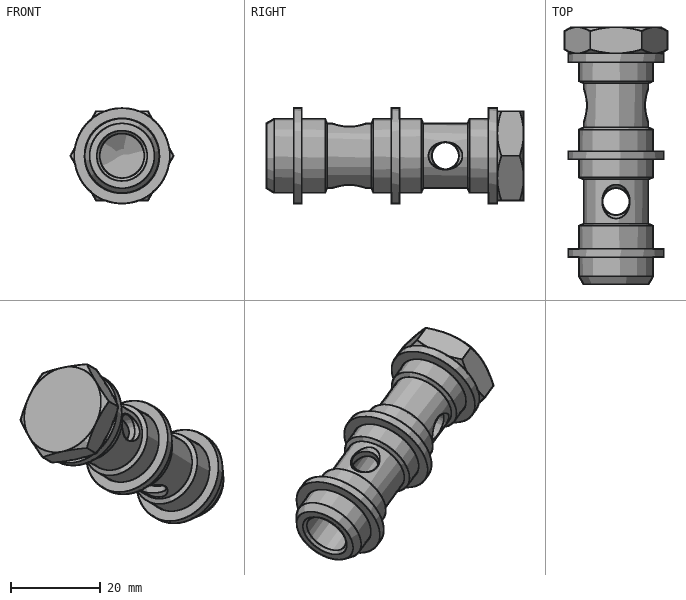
import cadquery as cq
import math

length = 57.5
head_height = 5.85
across_flats = 20.0
head_chamfer_angle = 30.0

collar_diameter = 16.6
neck_diameter = 14.5
neck_length = 9.9
neck_centers = [18.5, 40.0]
shoulder_chamfer_length = 0.45
tip_chamfer_length = 1.8

bore_diameter = 9.95
bore_mouth_diameter = 11.25
bore_depth = 48.3
drill_point_angle = 135.0
cross_hole_diameter = 6.0
countersink_diameter = 7.6

ring_outer_diameter = 21.4
ring_bore_diameter = 16.8
ring_thickness = 1.85
head_ring_thickness = 2.0
lower_ring_starts = [6.1, 27.95]

head_start = length - head_height
collar_radius = collar_diameter / 2
neck_radius = neck_diameter / 2
bore_radius = bore_diameter / 2
bore_mouth_radius = bore_mouth_diameter / 2
corner_radius = across_flats / 2 / math.cos(math.radians(30))


def cylinder(radius, start, height):
    """Cylinder around the Y axis, from start toward +Y."""
    return cq.Workplane(cq.Solid.makeCylinder(radius, height, cq.Vector(0, start, 0), cq.Vector(0, 1, 0)))


def revolve_profile(points):
    """Turn a closed (radius, Y) profile around the Y axis."""
    return cq.Workplane("XY").polyline(points).close().revolve(360, (0, 0, 0), (0, 1, 0))


def make_head():
    """Hexagon with flats facing +Z and -Z, its corners coned off at both ends."""
    hexagon = (
        cq.Workplane("XZ", origin=(0, length, 0))
        .polygon(6, 2 * corner_radius)
        .extrude(head_height)
    )
    flat_radius = across_flats / 2
    outside_radius = corner_radius + 0.6
    drop = (outside_radius - flat_radius) * math.tan(math.radians(head_chamfer_angle))
    envelope = revolve_profile([
        (0, head_start),
        (flat_radius, head_start),
        (outside_radius, head_start + drop),
        (outside_radius, length - drop),
        (flat_radius, length),
        (0, length),
    ])
    return hexagon.intersect(envelope)


def make_shank():
    """Turned shank with a coned tip and two necks between chamfered shoulders."""
    points = [(0, 0), (neck_radius, 0), (collar_radius, tip_chamfer_length)]
    for center in neck_centers:
        neck_start = center - neck_length / 2
        neck_end = center + neck_length / 2
        points += [
            (collar_radius, neck_start - shoulder_chamfer_length),
            (neck_radius, neck_start),
            (neck_radius, neck_end),
            (collar_radius, neck_end + shoulder_chamfer_length),
        ]
    points += [(collar_radius, head_start), (0, head_start)]
    return revolve_profile(points)


def make_bore():
    """Blind drilled bore with a 45 degree mouth chamfer and a conical end."""
    mouth_chamfer = bore_mouth_radius - bore_radius
    point_length = bore_radius / math.tan(math.radians(drill_point_angle / 2))
    return revolve_profile([
        (0, 0),
        (bore_mouth_radius, 0),
        (bore_radius, mouth_chamfer),
        (bore_radius, bore_depth),
        (0, bore_depth + point_length),
    ])


def make_cross_hole(center, direction):
    """Hole across the shank, with a 45 degree countersink at each neck surface."""
    middle = cq.Vector(0, center, 0)
    hole_radius = cross_hole_diameter / 2
    countersink_radius = countersink_diameter / 2
    countersink_depth = countersink_radius - hole_radius
    hole = cq.Workplane(
        cq.Solid.makeCylinder(hole_radius, neck_diameter, middle - direction * neck_radius, direction)
    )
    for outward in (direction, -direction):
        mouth = middle + outward * neck_radius
        countersink = cq.Solid.makeCone(
            countersink_radius, hole_radius, countersink_depth, mouth, -outward
        )
        hole = hole.union(cq.Workplane(countersink))
    return hole


def make_bolt():
    bolt = make_shank().union(make_head()).cut(make_bore())
    hole_directions = [cq.Vector(0, 0, 1), cq.Vector(1, 0, 0)]
    for center, direction in zip(neck_centers, hole_directions):
        bolt = bolt.cut(make_cross_hole(center, direction))
    return bolt


def make_sealing_ring(start, thickness):
    """Flat ring around the shank, with a small clearance to its collar."""
    outer = cylinder(ring_outer_diameter / 2, start, thickness)
    return outer.cut(cylinder(ring_bore_diameter / 2, start, thickness))


bolt = make_bolt()
ring_places = [(start, ring_thickness) for start in lower_ring_starts]
ring_places.append((head_start - head_ring_thickness, head_ring_thickness))
sealing_rings = [make_sealing_ring(start, thickness) for start, thickness in ring_places]

result = cq.Compound.makeCompound([bolt.val(), *[ring.val() for ring in sealing_rings]])